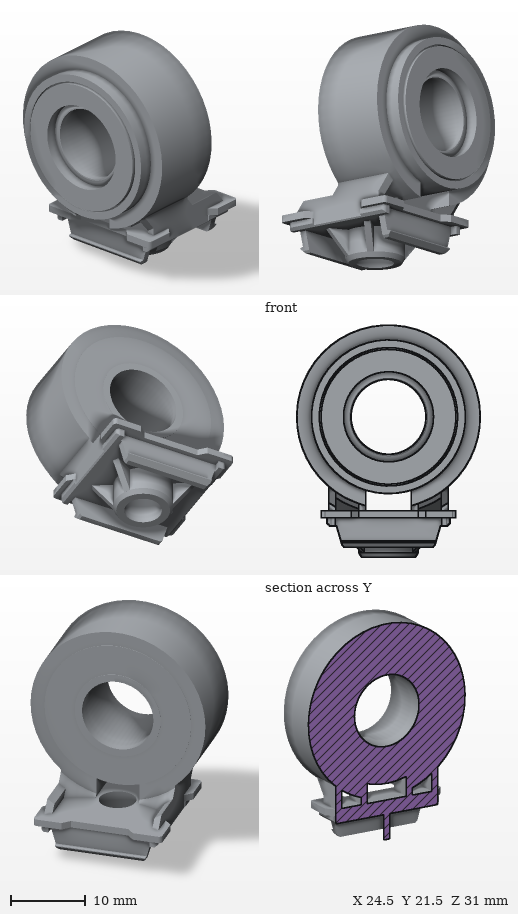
import cadquery as cq
import math


drum_radius = 12.25
drum_back = -0.12
drum_front = -10.25
sleeve_radius = 10.25
sleeve_back = -0.05
sleeve_front = -12.28
core_radius = 9.0
core_front = -12.52
core_gap = 0.25
core_gap_depth = 0.5
collar_radius = 6.0
counterbore_depth = 1.6
counterbore_floor_rise = 0.22
bore_radius = 5.0
bore_lip_width = 0.2
drum_slot_half_width = 3.0

plate_half = 9.0
plate_top = -12.52
plate_thickness = 0.95
plate_bottom = plate_top - plate_thickness
notch_depth = 1.0
notch_half_width = 4.0
plate_corner_radius = 0.5

wall_thickness = 1.0
wall_outer_x = plate_half - notch_depth
wall_inner_x = wall_outer_x - wall_thickness
cradle_front = -7.07
cradle_lip_radius = 12.5
ledge_radius = 13.45
ledge_end = 5.83
front_cone_radius = 13.95
cradle_reach = 16.12

step_half = 8.2
step_bottom = -14.6
step_corner_radius = 0.53
step_chamfer = 0.4
step_side_notch_half_width = 4.05
step_arm_notch_half_width = 7.1

arm_outer_y = 7.25
arm_inner_y = 6.3
arm_bottom = -17.42
arm_half_width = 6.95
arm_end_half_width = 6.2
arm_corner_chamfer = 0.3
hook_overhang = 0.5
hook_top = -16.55
hook_tip_top = -16.65
hook_tip_bottom = -16.77
hook_bevel = hook_tip_bottom - arm_bottom

spigot_radius = 4.0
spigot_hole_radius = 2.5
spigot_bottom = -18.75
spigot_chamfer_width = 0.4
spigot_chamfer_height = 0.65
gusset_angle = 30
gusset_thickness = 0.9
gusset_top_radius = 6.82


def box(x_min, x_max, y_min, y_max, z_min, z_max):
    """Axis-aligned box given by its limits."""
    size = (x_max - x_min, y_max - y_min, z_max - z_min)
    return cq.Workplane("XY").box(*size, centered=False).translate((x_min, y_min, z_min))


def revolve_about_ring_axis(points):
    """Solid of revolution from (radius, y) points."""
    return cq.Workplane("XY").polyline(points).close().revolve(360, (0, 0, 0), (0, 1, 0))


def tube(outer, inner, y_min, y_max):
    """Plain tube along the ring axis."""
    return revolve_about_ring_axis([(inner, y_min), (outer, y_min), (outer, y_max), (inner, y_max)])


def make_ring():
    """Drum, slotted at the bottom, around a stepped core whose counterbore has a conical floor."""
    drum = tube(drum_radius, sleeve_radius, drum_front, drum_back)
    slot = box(-drum_slot_half_width, drum_slot_half_width, drum_front, drum_back, -drum_radius, 0)
    floor_edge = core_front + counterbore_depth
    lip_face = floor_edge - counterbore_floor_rise
    gap_radius = core_radius + core_gap
    gap_floor = sleeve_front + core_gap_depth
    core = revolve_about_ring_axis([
        (bore_radius, 0),
        (collar_radius, 0),
        (collar_radius, sleeve_back),
        (sleeve_radius, sleeve_back),
        (sleeve_radius, sleeve_front),
        (gap_radius, sleeve_front),
        (gap_radius, gap_floor),
        (core_radius, gap_floor),
        (core_radius, core_front),
        (collar_radius, core_front),
        (collar_radius, floor_edge),
        (bore_radius + bore_lip_width, lip_face),
        (bore_radius, lip_face),
    ])
    return drum.cut(slot).union(core)


def make_plate():
    """Square plate with a splayed notch in the middle of each side."""
    plate = box(-plate_half, plate_half, -plate_half, plate_half, plate_bottom, plate_top)
    plate = plate.edges("|Z").fillet(plate_corner_radius)
    mouth_half_width = notch_half_width + notch_depth
    notch = (
        cq.Workplane("XY", origin=(0, 0, plate_bottom))
        .polyline([
            (-mouth_half_width, plate_half),
            (-notch_half_width, plate_half - notch_depth),
            (notch_half_width, plate_half - notch_depth),
            (mouth_half_width, plate_half),
        ])
        .close()
        .extrude(plate_thickness)
    )
    for turn in range(4):
        plate = plate.cut(notch.rotate((0, 0, 0), (0, 0, 1), 90 * turn))
    return plate


def make_cradle():
    """Walls, ribs and flared webs, all turned to the ring axis with 45 degree cones."""
    ledge_start = drum_back + ledge_radius - cradle_lip_radius
    flare_end = drum_back + cradle_reach - cradle_lip_radius
    front_cone_start = cradle_front - (front_cone_radius - drum_radius)
    wall_shape = revolve_about_ring_axis([
        (sleeve_radius, drum_back),
        (cradle_lip_radius, drum_back),
        (ledge_radius, ledge_start),
        (ledge_radius, ledge_end),
        (cradle_reach, ledge_end + cradle_reach - ledge_radius),
        (cradle_reach, cradle_front),
        (front_cone_radius, cradle_front),
        (drum_radius, front_cone_start),
        (sleeve_radius, front_cone_start),
    ])
    rib_shape = revolve_about_ring_axis([
        (sleeve_radius, drum_back),
        (cradle_lip_radius, drum_back),
        (cradle_reach, flare_end),
        (cradle_reach, cradle_front),
        (sleeve_radius, cradle_front),
    ])
    half_bend = math.radians(45 / 2)
    web_front = drum_back - wall_thickness
    web_bend_radius = cradle_lip_radius + wall_thickness * math.tan(half_bend)
    web_shape = revolve_about_ring_axis([
        (sleeve_radius, drum_back),
        (cradle_lip_radius, drum_back),
        (cradle_reach, flare_end),
        (cradle_reach, web_front + cradle_reach - web_bend_radius),
        (web_bend_radius, web_front),
        (sleeve_radius, web_front),
    ])
    rib_inner_x = drum_slot_half_width
    rib_outer_x = rib_inner_x + wall_thickness
    y_range = (-plate_half, plate_half)
    z_range = (plate_top, 0)
    wall = wall_shape.intersect(box(wall_inner_x, wall_outer_x, *y_range, *z_range))
    rib = rib_shape.intersect(box(rib_inner_x, rib_outer_x, *y_range, *z_range))
    web = web_shape.intersect(box(rib_inner_x, wall_outer_x, *y_range, *z_range))
    side = wall.union(rib).union(web)
    return side.union(side.mirror("YZ"))


def make_step():
    """Bevelled step under the plate, cut back at the arms and at the side walls."""
    step = box(-step_half, step_half, -step_half, step_half, step_bottom, plate_bottom)
    step = step.faces("<Z").edges("|Y").chamfer(step_chamfer)
    step = step.edges("|Z").fillet(step_corner_radius)
    z_range = (step_bottom, plate_bottom)
    arm_notch = box(-step_arm_notch_half_width, step_arm_notch_half_width, arm_outer_y, step_half, *z_range)
    side_y = step_side_notch_half_width
    side_notch = box(wall_outer_x, step_half, -side_y, side_y, *z_range)
    step = step.cut(arm_notch).cut(arm_notch.mirror("XZ"))
    return step.cut(side_notch).cut(side_notch.mirror("YZ"))


def make_arms():
    """Two tapered snap arms with outward hooks."""
    hook_y = arm_outer_y + hook_overhang
    side_shape = (
        cq.Workplane("YZ")
        .polyline([
            (arm_inner_y, plate_bottom),
            (arm_outer_y, plate_bottom),
            (arm_outer_y, hook_top),
            (hook_y, hook_tip_top),
            (hook_y, hook_tip_bottom),
            (hook_y - hook_bevel, arm_bottom),
            (arm_inner_y, arm_bottom),
        ])
        .close()
        .extrude(arm_half_width, both=True)
    )
    right_edge = [
        (arm_half_width, plate_bottom),
        (arm_half_width, step_bottom),
        (arm_end_half_width, arm_bottom + arm_corner_chamfer),
        (arm_end_half_width - arm_corner_chamfer, arm_bottom),
    ]
    left_edge = [(-x, z) for x, z in reversed(right_edge)]
    taper = (
        cq.Workplane("XZ")
        .polyline(right_edge + left_edge)
        .close()
        .extrude(plate_half, both=True)
    )
    arm = side_shape.intersect(taper)
    return arm.union(arm.mirror("XZ"))


def make_spigot():
    """Round spigot with a conical tip and four sloping gussets."""
    tip_top = spigot_bottom + spigot_chamfer_height
    spigot = (
        cq.Workplane("XZ")
        .polyline([
            (0, plate_bottom),
            (spigot_radius, plate_bottom),
            (spigot_radius, tip_top),
            (spigot_radius - spigot_chamfer_width, spigot_bottom),
            (0, spigot_bottom),
        ])
        .close()
        .revolve(360, (0, 0, 0), (0, 1, 0))
    )
    gusset = (
        cq.Workplane("XZ")
        .polyline([
            (0, step_bottom),
            (gusset_top_radius, step_bottom),
            (spigot_radius, tip_top),
            (0, tip_top),
        ])
        .close()
        .extrude(gusset_thickness / 2, both=True)
    )
    for angle in (gusset_angle, 180 - gusset_angle, 180 + gusset_angle, -gusset_angle):
        spigot = spigot.union(gusset.rotate((0, 0, 0), (0, 0, 1), angle))
    return spigot


base = make_plate().union(make_step()).union(make_arms()).union(make_spigot())
spigot_hole = (
    cq.Workplane("XY", origin=(0, 0, spigot_bottom))
    .circle(spigot_hole_radius)
    .extrude(plate_top - spigot_bottom)
)
result = base.cut(spigot_hole).union(make_cradle()).union(make_ring())